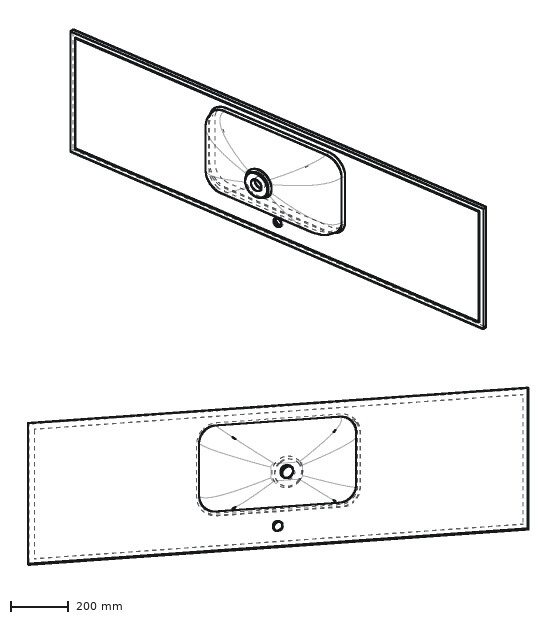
import cadquery as cq
import math

slab_length = 1800.0
slab_height = 500.0
slab_thickness = 16.0
lip_width = 20.0
recess_depth = 4.0
underside_y = recess_depth - slab_thickness

total_depth = 133.0
basin_z = 41.0
basin_length = 580.0
basin_height = 320.0
basin_corner = 67.0
wall = 7.0
bowl_power = 2.7
section_count = 8
smallest_scale = 0.2

collar_flare = 5.0
collar_depth = 13.0

outlet_height = 15.0
outlet_diameter = 97.0
outlet_base_diameter = 112.0
drain_diameter = 45.0
tap_diameter = 35.0
tap_z = -178.0

bowl_bottom_y = outlet_height - total_depth


def place_outline(length, height, radius, y):
    """Workplane holding a rounded rectangle around the basin centre, in the plane at the given Y."""
    sketch = cq.Sketch().rect(length, height).vertices().fillet(radius)
    plane = cq.Workplane("XZ", origin=(0, y, basin_z))
    return plane.placeSketch(sketch)


def bowl(length, height, radius, top_y, bottom_y):
    """Loft shrinking rounded rectangles along a superellipse down to the floor."""
    steepest = math.acos(smallest_scale ** (bowl_power / 2))
    sketches = []
    for index in range(section_count):
        angle = steepest * index / (section_count - 1)
        scale = math.cos(angle) ** (2 / bowl_power)
        drop = (top_y - bottom_y) * math.sin(angle) ** (2 / bowl_power)
        section = cq.Sketch().rect(length * scale, height * scale)
        section = section.vertices().fillet(radius * scale)
        sketches.append(section.moved(cq.Location(cq.Vector(0, 0, drop))))
    plane = cq.Workplane("XZ", origin=(0, top_y, basin_z))
    return plane.placeSketch(*sketches).loft()


def cylinder(diameter, start_y, depth, z):
    """Round bar running from start_y towards -Y."""
    return cq.Workplane("XZ", origin=(0, start_y, z)).circle(diameter / 2).extrude(depth)


slab = cq.Workplane("XZ").rect(slab_length, slab_height).extrude(slab_thickness)
recess = (
    cq.Workplane("XZ", origin=(0, underside_y, 0))
    .rect(slab_length - 2 * lip_width, slab_height - 2 * lip_width)
    .extrude(recess_depth)
)
slab = slab.cut(recess)

collar = (
    place_outline(
        basin_length + 2 * collar_flare,
        basin_height + 2 * collar_flare,
        basin_corner + collar_flare,
        underside_y,
    )
    .extrude(collar_depth, taper=math.degrees(math.atan(collar_flare / collar_depth)))
)

outlet_root = wall / 2
shoulder_depth = outlet_height / 2
outlet = (
    cylinder(outlet_base_diameter, bowl_bottom_y + outlet_root, outlet_root + shoulder_depth, basin_z)
    .faces("<Y")
    .chamfer((outlet_base_diameter - outlet_diameter) / 2)
    .union(cylinder(outlet_diameter, bowl_bottom_y + outlet_root, outlet_root + outlet_height, basin_z))
)

outer_bowl = bowl(basin_length, basin_height, basin_corner, underside_y, bowl_bottom_y)
cavity = bowl(
    basin_length - 2 * wall,
    basin_height - 2 * wall,
    basin_corner - wall,
    0,
    bowl_bottom_y + wall,
)

result = (
    slab.union(collar)
    .union(outer_bowl)
    .union(outlet)
    .cut(cavity)
    .cut(cylinder(drain_diameter, 0, total_depth, basin_z))
    .cut(cylinder(tap_diameter, 0, slab_thickness, tap_z))
)